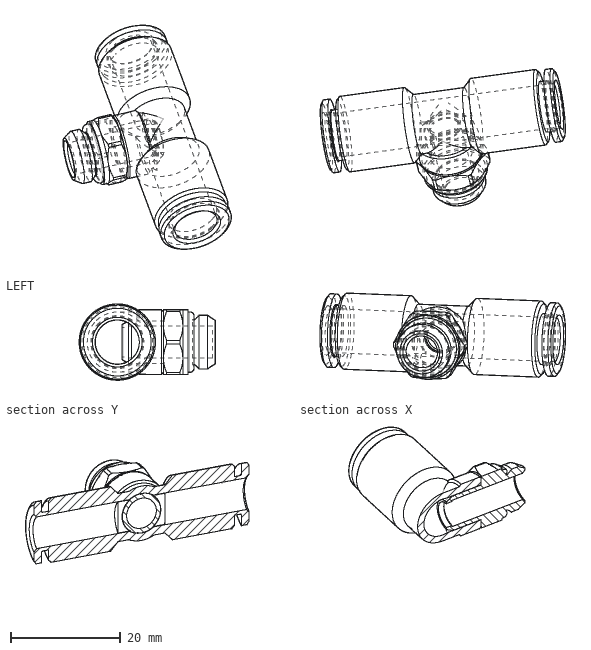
import cadquery as cq
import math


length = 43.4
overall_depth = 25.0
half_length = length / 2
socket_diameter = 14.0
socket_radius = socket_diameter / 2
waist_radius = 5.5
socket_inner_x = 6.2
waist_end_x = 4.75
shoulder_x = 18.75
shoulder_chamfer = 0.5
collar_radius = 6.75
collar_face_radius = 6.2
collar_chamfer_length = 0.45
collar_inner_x = 20.15
collar_neck_radius = 4.7
collar_neck_chamfer = 0.17
bore_radius = 4.05
mouth_radius = 4.55

branch_radius = 5.95
branch_step_start_y = -3.65
branch_step_end_y = -4.0
branch_end_y = -8.45
branch_chamfer = 0.4
nipple_seat_y = -2.55

stem_radius = 3.9
stem_taper_start_y = -2.05
stem_taper_end_radius = 3.4
stem_tip_radius = 3.12
stem_tip_y = -0.82
lip_bore_radius = 2.7
nipple_bore_radius = 2.95
nipple_mouth_radius = 3.47
hex_apothem = 5.95
hex_height = 3.55
hex_end_y = branch_end_y - hex_height
hex_corner_radius = 6.7
hex_chamfer_height = 0.55
flange_end_y = -12.98
ring_radius = 5.55
ring_section_radius = 0.82
ring_y = -13.3
relief_radius = 4.1
relief_end_y = -14.1
thread_start_y = -15.0
thread_radius = 4.95
thread_end_y = -16.55
nipple_end_radius = 4.0
nipple_end_y = socket_radius - overall_depth


def revolve_x(points):
    """Solid of revolution about X from (x, radius) points."""
    return cq.Workplane("XY").polyline(points).close().revolve(360, (0, 0), (1, 0))


def revolve_y(points):
    """Solid of revolution about Y from (radius, y) points."""
    return cq.Workplane("XY").polyline(points).close().revolve(360, (0, 0), (0, 1))


def cylinder_y(radius, start_y, end_y):
    """Cylinder on the Y axis running from start_y toward -Y to end_y."""
    return cq.Workplane("XZ", origin=(0, start_y, 0)).circle(radius).extrude(start_y - end_y)


def make_tube_half():
    """The +X half of the tube: waist, socket, collar neck and collar."""
    return revolve_x([
        (0, 0),
        (0, waist_radius),
        (waist_end_x, waist_radius),
        (socket_inner_x, socket_radius),
        (shoulder_x - shoulder_chamfer, socket_radius),
        (shoulder_x, socket_radius - shoulder_chamfer),
        (shoulder_x, collar_neck_radius),
        (collar_inner_x - collar_neck_chamfer, collar_neck_radius),
        (collar_inner_x, collar_neck_radius + collar_neck_chamfer),
        (collar_inner_x, collar_radius),
        (half_length - collar_chamfer_length, collar_radius),
        (half_length, collar_face_radius),
        (half_length, 0),
    ])


def make_branch():
    """Branch whose inner part matches the waist, so that the two meet in mitred edges."""
    return revolve_y([
        (0, 0),
        (waist_radius, 0),
        (waist_radius, branch_step_start_y),
        (branch_radius, branch_step_end_y),
        (branch_radius, branch_end_y + branch_chamfer),
        (branch_radius - branch_chamfer, branch_end_y),
        (0, branch_end_y),
    ])


def make_bore():
    """Through bore with flared mouths; the nipple seat stands up from its floor in the middle."""
    flare_x = half_length - (mouth_radius - bore_radius)
    bore = revolve_x([
        (-half_length, 0),
        (-half_length, mouth_radius),
        (-flare_x, bore_radius),
        (flare_x, bore_radius),
        (half_length, mouth_radius),
        (half_length, 0),
    ])
    seat = (
        cq.Workplane("XZ", origin=(0, nipple_seat_y, 0))
        .rect(2 * waist_end_x, 2 * waist_radius)
        .extrude(waist_radius)
    )
    return bore.cut(seat)


def make_tee():
    half = make_tube_half()
    tee = half.union(half.mirror("YZ")).union(make_branch())
    tee = tee.cut(make_bore())
    return tee.cut(cylinder_y(stem_radius, 0, branch_end_y))


def make_hex():
    """Hexagon with corners toward +X and -X, rounded corners and both ends chamfered."""
    sharp_corner_radius = hex_apothem / math.cos(math.pi / 6)
    hexagon = (
        cq.Workplane("XZ", origin=(0, branch_end_y, 0))
        .polygon(6, 2 * sharp_corner_radius)
        .extrude(hex_height)
    )
    envelope = revolve_y([
        (0, branch_end_y),
        (hex_apothem, branch_end_y),
        (hex_corner_radius, branch_end_y - hex_chamfer_height),
        (hex_corner_radius, hex_end_y + hex_chamfer_height),
        (hex_apothem, hex_end_y),
        (0, hex_end_y),
    ])
    return hexagon.intersect(envelope)


def make_stem():
    """Stem in the branch, with a tapered and bevelled tip that rises into the bore."""
    tip_bevel = stem_taper_end_radius - stem_tip_radius
    return revolve_y([
        (0, branch_end_y),
        (stem_radius, branch_end_y),
        (stem_radius, stem_taper_start_y),
        (stem_taper_end_radius, stem_tip_y - tip_bevel),
        (stem_tip_radius, stem_tip_y),
        (0, stem_tip_y),
    ])


def make_threaded_end():
    """Flange, sealing ring, relief and thread below the hexagon."""
    flange = cylinder_y(branch_radius, hex_end_y, flange_end_y)
    ring_center_radius = ring_radius - ring_section_radius
    ring = (
        cq.Workplane("XY")
        .moveTo(ring_center_radius, ring_y)
        .circle(ring_section_radius)
        .revolve(360, (0, 0), (0, 1))
    )
    thread = revolve_y([
        (0, flange_end_y),
        (relief_radius, flange_end_y),
        (relief_radius, relief_end_y),
        (thread_radius, thread_start_y),
        (thread_radius, thread_end_y),
        (nipple_end_radius, nipple_end_y),
        (0, nipple_end_y),
    ])
    return flange.union(ring).union(thread)


def make_nipple_bore():
    """Bore with a chamfered mouth, narrowed by a lip at the stem tip."""
    return revolve_y([
        (0, stem_tip_y),
        (lip_bore_radius, stem_tip_y),
        (lip_bore_radius, stem_taper_start_y),
        (nipple_bore_radius, stem_taper_start_y),
        (nipple_bore_radius, nipple_end_y + nipple_mouth_radius - nipple_bore_radius),
        (nipple_mouth_radius, nipple_end_y),
        (0, nipple_end_y),
    ])


def make_nipple():
    nipple = make_stem().union(make_hex()).union(make_threaded_end())
    return nipple.cut(make_nipple_bore())


tee = make_tee()
nipple = make_nipple()

result = cq.Compound.makeCompound([tee.val(), nipple.val()])